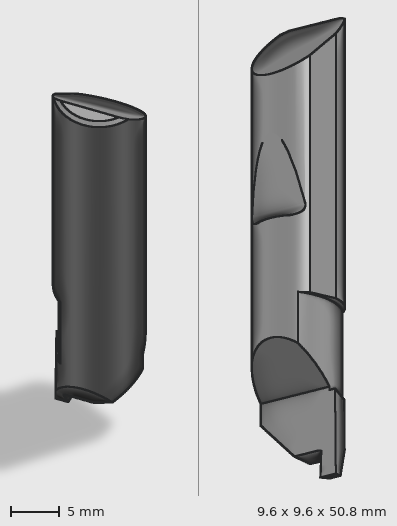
import cadquery as cq
import math

length = 50.8
radius = 4.8
reach = 2 * radius

top_chamfer_height = 0.35
top_chamfer_width = 0.5
top_slope_start_y = -2.85

flat_end_y = 3.0

notch_top = 36.75
notch_bottom = 27.5
notch_depth = 1.65
notch_radius = 1.1

relief_top = 19.1
relief_bottom = 9.3
relief_middle_x = -3.95
relief_edge_y = 3.85

rake_slope_start = 9.65
cutting_edge_lean = 0.1
flank_offset_top = 0.38
flank_offset_bottom = 0.35
front_slope_top = 7.35
tip_thickness = 1.6
tip_end_rise = 0.35
tip_wall_x = -2.8
tip_wall_lean = 0.15
shoulder_height = 3.0
shoulder_radius = 0.3
end_slope_top = 7.25


def prism_along_x(points):
    """Solid with a (Y, Z) outline, running across the whole shank."""
    return cq.Workplane("YZ").polyline(points).close().extrude(reach, both=True)


def make_shank():
    shank_profile = [
        (0, 0),
        (radius, 0),
        (radius, length - top_chamfer_height),
        (radius - top_chamfer_width, length),
        (0, length),
    ]
    shank = cq.Workplane("XZ").polyline(shank_profile).close().revolve(360, (0, 0), (0, 1))
    slope_run = reach - top_slope_start_y
    top_slope = prism_along_x(
        [(top_slope_start_y, length), (reach, length - slope_run), (reach, length)]
    )
    return shank.cut(top_slope)


def side_flat():
    flat_end_x = -math.sqrt(radius**2 - flat_end_y**2)
    return (
        cq.Workplane("XY")
        .polyline([(-radius, 0), (flat_end_x, flat_end_y), (-reach, flat_end_y)])
        .close()
        .extrude(length)
    )


def clamping_notch():
    floor_y = radius - notch_depth
    notch = prism_along_x([(radius, notch_top), (floor_y, notch_bottom), (radius, notch_bottom)])
    inner_edge = cq.selectors.NearestToPointSelector((0, floor_y, notch_bottom))
    return notch.edges(inner_edge).fillet(notch_radius)


def side_relief():
    edge_x = -math.sqrt(radius**2 - relief_edge_y**2)
    return (
        cq.Workplane("XY", origin=(0, 0, relief_bottom))
        .moveTo(edge_x, -relief_edge_y)
        .threePointArc((relief_middle_x, 0), (edge_x, relief_edge_y))
        .lineTo(-reach, relief_edge_y)
        .lineTo(-reach, -relief_edge_y)
        .close()
        .extrude(relief_top - relief_bottom)
    )


def rake_cut():
    """Removes the +Y half at the tip, leaving the rake face at Y = 0."""
    return prism_along_x(
        [(0, 0), (0, rake_slope_start), (reach, rake_slope_start + reach), (reach, 0)]
    )


def flank_cut():
    """Slightly twisted clearance face running back from the cutting edge."""

    def outline(edge_x, offset):
        return [(edge_x, 0), (edge_x + offset * radius, -radius), (-reach, -radius), (-reach, 0)]

    return (
        cq.Workplane("XY")
        .polyline(outline(-radius, flank_offset_bottom))
        .close()
        .workplane(offset=relief_bottom)
        .polyline(outline(-radius + cutting_edge_lean, flank_offset_top))
        .close()
        .loft(ruled=True)
    )


def front_cut():
    """Thins the tip from the -Y side and gives its end face clearance."""
    return prism_along_x(
        [
            (0, 0),
            (-tip_thickness, tip_end_rise),
            (-radius, front_slope_top),
            (-reach, front_slope_top),
            (-reach, 0),
        ]
    )


def shoulder_cut():
    """Clears the +X side of the tip up to the shoulder and its 45 degree slope."""
    slope_start_x = radius - (end_slope_top - shoulder_height)
    wall_top_x = tip_wall_x - tip_wall_lean
    cutter = (
        cq.Workplane("XZ")
        .polyline(
            [
                (tip_wall_x, 0),
                (wall_top_x, shoulder_height),
                (slope_start_x, shoulder_height),
                (radius, end_slope_top),
                (reach, end_slope_top),
                (reach, 0),
            ]
        )
        .close()
        .extrude(reach, both=True)
    )
    inner_corner = cq.selectors.NearestToPointSelector((wall_top_x, 0, shoulder_height))
    return cutter.edges(inner_corner).fillet(shoulder_radius)


result = (
    make_shank()
    .cut(side_flat())
    .cut(clamping_notch())
    .cut(side_relief())
    .cut(rake_cut())
    .cut(flank_cut())
    .cut(front_cut())
    .cut(shoulder_cut())
)